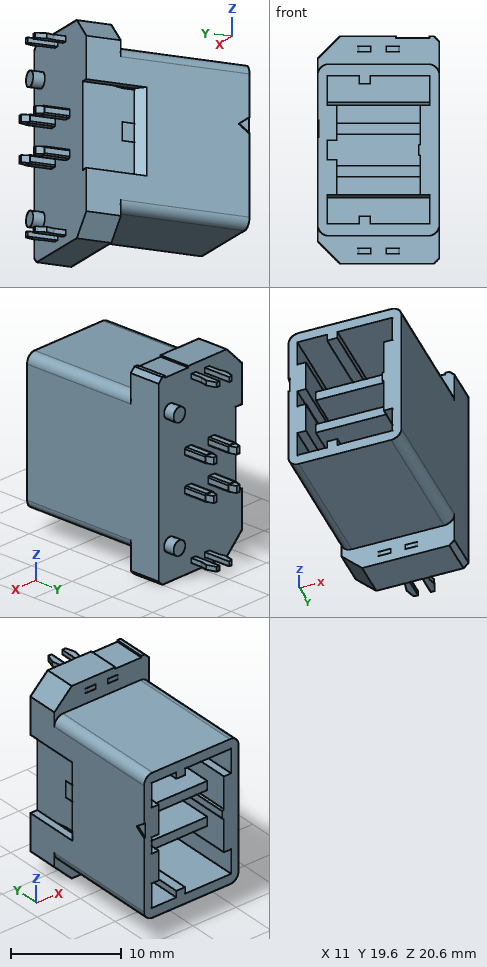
import cadquery as cq


WIDTH = 11.0
BODY_HEIGHT = 15.5
BODY_CORNER_RADIUS = 1.0
FLANGE_HEIGHT = 20.55
FLANGE_FRONT = 12.87
FLANGE_BACK = 16.32
LARGE_CHAMFER = 2.01
SMALL_CHAMFER = 0.5

STEP_LEFT = 1.58
STEP_RIGHT = 4.6
STEP_DEPTH = 0.16

CAVITY_WIDTH = 9.25
CAVITY_HEIGHT = 13.36
MIDDLE_WIDTH = 7.57
MIDDLE_HEIGHT = 8.1
MIDDLE_DEPTH = 12.34
BAY_DEPTH = 13.78
BAY_STEP_RISE = 0.25
KEYWAY_HEIGHT = 1.77

KEY_WIDTH = 1.0
KEY_HEIGHT = 0.7
KEY_X = -1.23
WALL_RIB_BASE_HEIGHT = 1.1
WALL_RIB_DEPTH = 0.16
SHELF_FRONT = 2.38
SHELF_THICKNESS = 0.99

RECESS_HEIGHT = 8.35
RECESS_FRONT = 10.28
RECESS_RAMP = 0.86
RECESS_DEPTH = 0.8
MARK_HEIGHT = 1.52
MARK_LENGTH = 1.05
MARK_DEPTH = 0.12

CONTACT_X = 1.52
ROW_Z = 1.91
CONTACT_WIDTH = 1.0
CONTACT_HEIGHT = 0.85
CONTACT_CHAMFER = 0.15
TIP_THICKNESS = 0.7
TIP_BASE_WIDTH = 0.93
TIP_END_WIDTH = 0.41
TIP_START = 18.85
TIP_END = 19.6

LOCK_Z = 9.13
LOCK_THICKNESS = 0.5
LOCK_INNER_X = 0.62
LOCK_FLARE = 0.06
LOCK_FLARE_LENGTH = 0.33
LOCK_TIP_X = 0.99
LOCK_SHOULDER_X = 1.07
LOCK_BARB_X = 1.34
LOCK_NECK_X = 1.17
LOCK_NECK_Y = 17.52
LOCK_BARB_Y = 18.3
LOCK_SHOULDER_Y = 19.18
LOCK_TIP_Y = 19.3

LOCK_HEAD_INNER_X = 0.7
LOCK_HEAD_OUTER_X = 1.9
LOCK_HEAD_BEVEL = 0.12
LOCK_HEAD_HEIGHT = 0.02

PEG_X = 4.0
PEG_Z = 6.6
PEG_DIAMETER = 1.55
PEG_LENGTH = 1.17

SIDES = (-1, 1)


def box(x_min, x_max, y_min, y_max, z_min, z_max):
    """Box between opposite corners."""
    size = (x_max - x_min, y_max - y_min, z_max - z_min)
    return cq.Workplane("XY").box(*size, centered=False).translate((x_min, y_min, z_min))


def prism_along_x(points_yz, x_min, x_max):
    """Prism with a YZ outline."""
    return cq.Workplane("YZ", origin=(x_min, 0, 0)).polyline(points_yz).close().extrude(x_max - x_min)


def plate_in_xy(points_xy, thickness):
    """Plate with an XY outline, centred on Z = 0."""
    return cq.Workplane("XY").polyline(points_xy).close().extrude(thickness / 2, both=True)


def bar_along_y(width, height, y_min, y_max):
    """Centred bar running along Y."""
    return box(-width / 2, width / 2, y_min, y_max, -height / 2, height / 2)


def make_shell():
    body = bar_along_y(WIDTH, BODY_HEIGHT, 0, FLANGE_BACK).edges("|Y").fillet(BODY_CORNER_RADIUS)
    flange = (
        bar_along_y(WIDTH, FLANGE_HEIGHT, FLANGE_FRONT, FLANGE_BACK)
        .edges("|Y and <X").chamfer(LARGE_CHAMFER)
        .edges("|Y and >X").chamfer(SMALL_CHAMFER)
    )
    top = FLANGE_HEIGHT / 2
    step = box(STEP_LEFT, STEP_RIGHT, FLANGE_FRONT, FLANGE_BACK, top - STEP_DEPTH, top)
    return body.union(flange.cut(step))


def make_cavity():
    half_width = CAVITY_WIDTH / 2
    half_keyway = KEYWAY_HEIGHT / 2
    cavity = bar_along_y(MIDDLE_WIDTH, MIDDLE_HEIGHT, 0, MIDDLE_DEPTH)
    keyway = box(-half_width, 0, 0, MIDDLE_DEPTH, -half_keyway, half_keyway)
    cavity = cavity.union(keyway)

    inner_z = MIDDLE_HEIGHT / 2
    outer_z = CAVITY_HEIGHT / 2
    key_z = outer_z - KEY_HEIGHT / 2
    for side in SIDES:
        bay_outline = [
            (0, side * inner_z),
            (MIDDLE_DEPTH, side * inner_z),
            (BAY_DEPTH, side * (inner_z + BAY_STEP_RISE)),
            (BAY_DEPTH, side * outer_z),
            (0, side * outer_z),
        ]
        bay = prism_along_x(bay_outline, -half_width, half_width)
        key = bar_along_y(KEY_WIDTH, KEY_HEIGHT, 0, BAY_DEPTH).translate((KEY_X, 0, side * key_z))
        shelf = bar_along_y(MIDDLE_WIDTH, SHELF_THICKNESS, SHELF_FRONT, MIDDLE_DEPTH)
        cavity = cavity.union(bay.cut(key)).cut(shelf.translate((0, 0, side * ROW_Z)))
    return cavity.cut(make_wall_rib())


def make_wall_rib():
    """Rib with 45-degree flanks along the +X wall of the middle cavity."""
    wall_x = MIDDLE_WIDTH / 2
    crest_x = wall_x - WALL_RIB_DEPTH
    base_z = WALL_RIB_BASE_HEIGHT / 2
    crest_z = base_z - WALL_RIB_DEPTH
    outline = [(wall_x, -base_z), (crest_x, -crest_z), (crest_x, crest_z), (wall_x, base_z)]
    return cq.Workplane("XZ").polyline(outline).close().extrude(-MIDDLE_DEPTH)


def make_side_recess():
    outer_x = -WIDTH / 2
    floor_x = outer_x + RECESS_DEPTH
    outline = [
        (outer_x, RECESS_FRONT),
        (floor_x, RECESS_FRONT + RECESS_RAMP),
        (floor_x, FLANGE_BACK),
        (outer_x, FLANGE_BACK),
    ]
    return plate_in_xy(outline, RECESS_HEIGHT)


def make_pin_one_mark():
    outline = [
        (0, ROW_Z - MARK_HEIGHT / 2),
        (MARK_LENGTH, ROW_Z),
        (0, ROW_Z + MARK_HEIGHT / 2),
    ]
    outer_x = -WIDTH / 2
    return prism_along_x(outline, outer_x, outer_x + MARK_DEPTH)


def make_contact():
    """One contact pin on the Y axis, rooted in the back of the middle cavity."""
    shank = bar_along_y(CONTACT_WIDTH, CONTACT_HEIGHT, MIDDLE_DEPTH, TIP_START)
    shank = shank.edges("|Y").chamfer(CONTACT_CHAMFER)
    tip_outline = [
        (-TIP_BASE_WIDTH / 2, TIP_START),
        (-TIP_END_WIDTH / 2, TIP_END),
        (TIP_END_WIDTH / 2, TIP_END),
        (TIP_BASE_WIDTH / 2, TIP_START),
    ]
    return shank.union(plate_in_xy(tip_outline, TIP_THICKNESS))


def make_lock(side_x):
    """One lock at mid-height, with its barb facing away from X = 0."""
    leg = [
        (LOCK_INNER_X - LOCK_FLARE, FLANGE_BACK),
        (LOCK_INNER_X, FLANGE_BACK + LOCK_FLARE_LENGTH),
        (LOCK_INNER_X, LOCK_TIP_Y),
        (LOCK_TIP_X, LOCK_TIP_Y),
        (LOCK_SHOULDER_X, LOCK_SHOULDER_Y),
        (LOCK_BARB_X, LOCK_BARB_Y),
        (LOCK_NECK_X, LOCK_NECK_Y),
        (LOCK_NECK_X, FLANGE_BACK),
    ]
    head = [
        (LOCK_HEAD_INNER_X, FLANGE_FRONT),
        (LOCK_HEAD_OUTER_X, FLANGE_FRONT),
        (LOCK_HEAD_OUTER_X - LOCK_HEAD_BEVEL, FLANGE_FRONT - LOCK_HEAD_HEIGHT),
        (LOCK_HEAD_INNER_X, FLANGE_FRONT - LOCK_HEAD_HEIGHT),
    ]
    lock = cq.Workplane("XY")
    for outline in (leg, head):
        sided_outline = [(side_x * x, y) for x, y in outline]
        lock = lock.union(plate_in_xy(sided_outline, LOCK_THICKNESS))
    return lock


def make_peg():
    """One peg on the Y axis, standing on the back of the flange."""
    return cq.Workplane("XZ", origin=(0, FLANGE_BACK, 0)).circle(PEG_DIAMETER / 2).extrude(-PEG_LENGTH)


result = make_shell().cut(make_cavity()).cut(make_side_recess()).cut(make_pin_one_mark())
for side_z in SIDES:
    result = result.union(make_peg().translate((PEG_X, 0, side_z * PEG_Z)))
    for side_x in SIDES:
        result = result.union(make_contact().translate((side_x * CONTACT_X, 0, side_z * ROW_Z)))
        result = result.union(make_lock(side_x).translate((0, 0, side_z * LOCK_Z)))